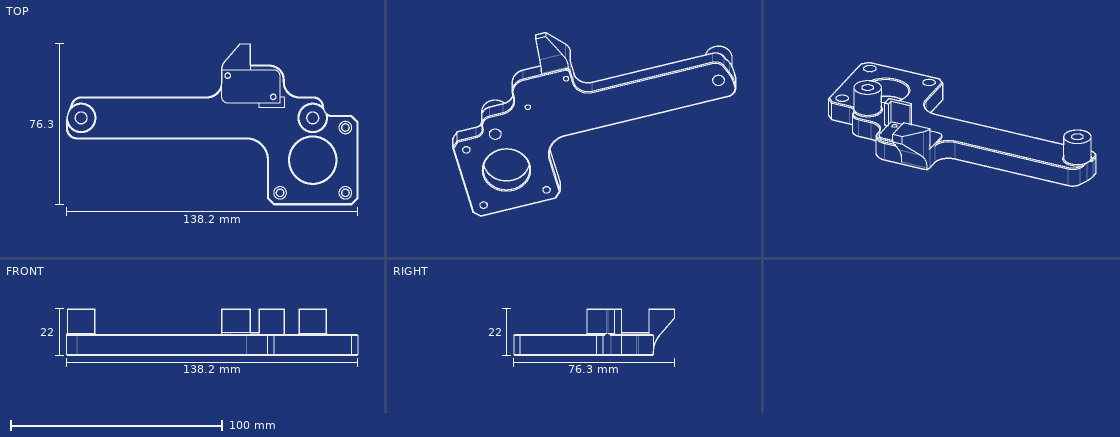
import cadquery as cq
import math

length = 138.2
thickness = 10.0
edge_chamfer = 0.5
overall_height = 22.0

arm_half_width = 10.0
arm_corner_radius = 5.0
end_taper = math.radians(20)
end_taper_radius = 15.0

post_diameter = 13.0
post_hole_diameter = 5.5
flare_diameter = 14.0
flare_height = (flare_diameter - post_diameter) / 2
left_post_x = flare_diameter / 2
post_spacing = 109.7
right_post_x = left_post_x + post_spacing
post_points = [(left_post_x, 0), (right_post_x, 0)]

motor_x = right_post_x
motor_y = -20.0
flange_half_width = length - motor_x
flange_left = motor_x - flange_half_width
flange_top = 1.1
flange_bottom = -41.2
flange_corner = 3.0
flange_blend_radius = 10.0
bore_diameter = 22.0
screw_offset = 15.5
screw_diameter = 3.5
screw_head_diameter = 6.0
screw_head_depth = 3.5
screw_points = [
    (motor_x + screw_offset, motor_y + screw_offset),
    (motor_x + screw_offset, motor_y - screw_offset),
    (motor_x - screw_offset, motor_y - screw_offset),
]

shoulder_x = 121.8
shoulder_inner_radius = arm_half_width - arm_corner_radius - flange_top

boss_left = 73.5
boss_right = 103.2
boss_top = 25.0
boss_radius = 7.0
seat_right = 101.1
seat_bottom = 7.0
seat_top = 22.8
seat_rise = 0.8
seat_corner_radius = 3.0
pin_hole_diameter = 2.5
pin_points = [(76.4, 20.0), (98.0, 10.0)]

clip_left = 91.3
clip_wall = boss_right - seat_right
clip_top = 10.0

hook_width = 13.7
hook_top = 35.1
hook_tip_width = 5.0
hook_tip_bottom = 17.8
hook_side_corner_y = 25.0
hook_root_z = 6.2
hook_root_radius = 12.5


def rounded_outline(corners, plane="XY"):
    """Closed wire through (u, v, radius) corners; radius 0 keeps a corner sharp."""
    same_point = 1.38e-06
    legs = []
    for i, (u, v, radius) in enumerate(corners):
        corner = cq.Vector(u, v)
        before = cq.Vector(*corners[i - 1][:2])
        after = cq.Vector(*corners[(i + 1) % len(corners)][:2])
        to_before = (before - corner).normalized()
        to_after = (after - corner).normalized()
        half_angle = to_before.getAngle(to_after) / 2
        setback = radius / math.tan(half_angle)
        bisector = (to_before + to_after).normalized()
        middle = corner + bisector * (radius / math.sin(half_angle) - radius)
        legs.append((corner + to_before * setback, middle, corner + to_after * setback, radius))

    position = legs[-1][2]
    sketch = cq.Workplane(plane).moveTo(position.x, position.y)
    for start, middle, end, radius in legs:
        if (start - position).Length > same_point:
            sketch = sketch.lineTo(start.x, start.y)
        if radius > 0:
            sketch = sketch.threePointArc((middle.x, middle.y), (end.x, end.y))
        position = end
    return sketch.close()


def box_between(x0, x1, y0, y1, z0, z1):
    return cq.Workplane("XY").box(x1 - x0, y1 - y0, z1 - z0, centered=False).translate((x0, y0, z0))


plate_corners = [
    (0, -arm_half_width, arm_corner_radius),
    (0, 0, end_taper_radius),
    (arm_half_width * math.tan(end_taper), arm_half_width, arm_corner_radius),
    (boss_left, arm_half_width, boss_radius),
    (boss_left, boss_top, boss_top - seat_top),
    (boss_right, boss_top, boss_radius),
    (boss_right, arm_half_width, boss_radius),
    (shoulder_x, arm_half_width, arm_corner_radius),
    (shoulder_x, flange_top, shoulder_inner_radius),
    (length - flange_corner, flange_top, 0),
    (length, flange_top - flange_corner, 0),
    (length, flange_bottom + flange_corner, 0),
    (length - flange_corner, flange_bottom, 0),
    (flange_left + flange_corner, flange_bottom, 0),
    (flange_left, flange_bottom + flange_corner, 0),
    (flange_left, -arm_half_width, flange_blend_radius),
]


def make_plate():
    plate = rounded_outline(plate_corners).extrude(thickness)
    bore = cq.Workplane("XY").center(motor_x, motor_y).circle(bore_diameter / 2).extrude(thickness)
    return plate.cut(bore).faces("<Z or >Z").edges().chamfer(edge_chamfer)


def make_posts():
    foot = thickness - edge_chamfer
    post = (
        cq.Workplane("XZ")
        .moveTo(0, foot)
        .lineTo(flare_diameter / 2, foot)
        .lineTo(flare_diameter / 2, thickness)
        .lineTo(post_diameter / 2, thickness + flare_height)
        .lineTo(post_diameter / 2, overall_height)
        .lineTo(0, overall_height)
        .close()
        .revolve()
    )
    posts = cq.Workplane("XY")
    for x, y in post_points:
        posts = posts.union(post.translate((x, y, 0)))
    return posts.intersect(rounded_outline(plate_corners).extrude(overall_height))


def corner_selector(x, y):
    """Selects the vertical edge standing at (x, y)."""
    reach = 1.4
    return cq.selectors.BoxSelector((x - reach, y - reach, edge_chamfer + reach),
                                    (x + reach, y + reach, thickness - reach))


def make_seat():
    seat = box_between(boss_left, seat_right, seat_bottom, seat_top, edge_chamfer, thickness + seat_rise)
    rounded_edges = corner_selector(boss_left, seat_bottom) + corner_selector(seat_right, seat_top)
    return seat.edges(rounded_edges).fillet(seat_corner_radius)


def make_clip():
    outer = box_between(clip_left, boss_right, seat_bottom - clip_wall, clip_top, thickness, overall_height)
    inner = box_between(boss_left, seat_right, seat_bottom, seat_top, thickness, overall_height)
    return outer.cut(inner)


def make_hook():
    hook_right = boss_left + hook_width
    slant_run = hook_width - hook_tip_width
    slant_turn = math.atan2(slant_run, hook_top - hook_side_corner_y)
    side_radius = (hook_side_corner_y - seat_top) / math.tan(slant_turn / 2)
    plan = rounded_outline([
        (boss_left, seat_top, 0),
        (boss_left, hook_side_corner_y, side_radius),
        (boss_left + slant_run, hook_top, 0),
        (hook_right, hook_top, 0),
        (hook_right, seat_top, 0),
    ]).extrude(overall_height)
    side = rounded_outline([
        (seat_top, edge_chamfer, 0),
        (boss_top, edge_chamfer, 0),
        (boss_top, hook_root_z, hook_root_radius),
        (hook_top, hook_tip_bottom, 0),
        (hook_top, overall_height, 0),
        (seat_top, overall_height, 0),
    ], "YZ").extrude(length)
    return plan.intersect(side)


def hole_cutters(points, diameter):
    """Cylinders as tall as the part, used as cutting tools."""
    return cq.Workplane("XY").pushPoints(points).circle(diameter / 2).extrude(overall_height)


screw_heads = hole_cutters(screw_points, screw_head_diameter).translate((0, 0, thickness - screw_head_depth))

result = (
    make_plate()
    .union(make_posts())
    .union(make_seat())
    .union(make_clip())
    .union(make_hook())
    .cut(hole_cutters(post_points, post_hole_diameter))
    .cut(hole_cutters(pin_points, pin_hole_diameter))
    .cut(hole_cutters(screw_points, screw_diameter))
    .cut(screw_heads)
)